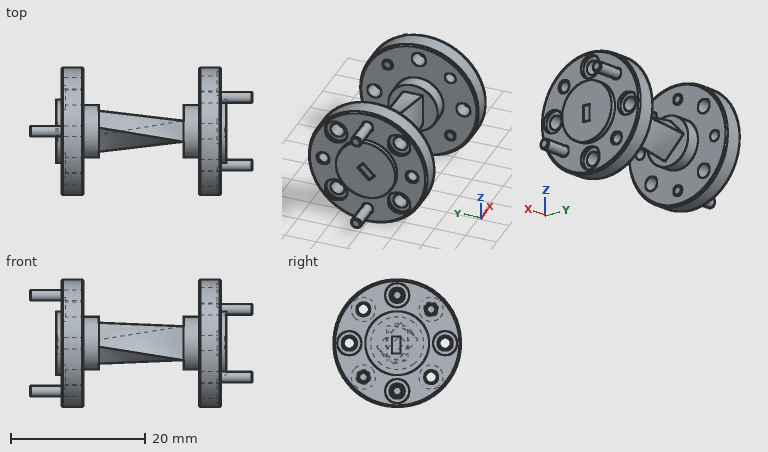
import cadquery as cq


INSERTION_LENGTH = 25.4
FLANGE_DIAMETER = 19.05
FLANGE_THICKNESS = 3.3
FLANGE_CHAMFER = 0.25
BOSS_DIAMETER = 9.53
BOSS_HEIGHT = 0.8
COLLAR_DIAMETER = 7.9
COLLAR_LENGTH = 2.3

APERTURE_LONG = 2.54
APERTURE_SHORT = APERTURE_LONG / 2
APERTURE_DEPTH = 0.25
APERTURE_OFFSET_SHORT = -0.14
APERTURE_OFFSET_LONG = -0.26

TUBE_LONG = 5.08
TUBE_SHORT_LEFT = 3.6
TUBE_SHORT_RIGHT = 3.15
TWIST_ANGLE = 45.0

BOLT_CIRCLE_DIAMETER = 14.29
SCREW_HOLE_DIAMETER = 2.25
COUNTERBORE_DIAMETER = 3.6
COUNTERBORE_DEPTH = 0.6
ALIGNMENT_HOLE_DIAMETER = 1.7
ALIGNMENT_COUNTERSINK = 0.18
PIN_COUNTERSINK = 0.09

SCREW_ANGLES = (0, 90, 180, 270)
PIN_ANGLES = (45, 225)
ALIGNMENT_ANGLES = (135, 315)

PIN_DIAMETER = 1.63
PIN_PROJECTION = 4.675
PIN_CHAMFER = 0.17

BOSS_FACE = INSERTION_LENGTH / 2
FLANGE_OUTER_FACE = BOSS_FACE - BOSS_HEIGHT
FLANGE_INNER_FACE = FLANGE_OUTER_FACE - FLANGE_THICKNESS
COLLAR_FACE = FLANGE_INNER_FACE - COLLAR_LENGTH
PIN_TIP = FLANGE_OUTER_FACE + PIN_PROJECTION
BOLT_RADIUS = BOLT_CIRCLE_DIAMETER / 2

ORIGIN = (0, 0, 0)
X_AXIS = (1, 0, 0)
Z_AXIS = (0, 0, 1)


def cylinder(diameter, start, end, y=0.0):
    """Solid cylinder parallel to X between two X positions."""
    return cq.Workplane("YZ", origin=(start, y, 0)).circle(diameter / 2).extrude(end - start)


def around_bolt_circle(feature, angles):
    """Copies of a feature made at Y = BOLT_RADIUS, turned about X to each angle."""
    return [feature.rotate(ORIGIN, X_AXIS, angle) for angle in angles]


def to_left_end(shape):
    """Turn a +X end shape round to the -X end and roll it by the twist."""
    return shape.rotate(ORIGIN, Z_AXIS, 180).rotate(ORIGIN, X_AXIS, -TWIST_ANGLE)


def screw_hole():
    """Through hole with a shallow counterbore in the flange outer face."""
    hole = cylinder(SCREW_HOLE_DIAMETER, FLANGE_INNER_FACE, FLANGE_OUTER_FACE, BOLT_RADIUS)
    bore_floor = FLANGE_OUTER_FACE - COUNTERBORE_DEPTH
    return hole.union(cylinder(COUNTERBORE_DIAMETER, bore_floor, FLANGE_OUTER_FACE, BOLT_RADIUS))


def countersunk_hole(diameter, countersink):
    """Through hole with a 45 degree countersink in the flange outer face."""
    hole = cylinder(diameter, FLANGE_INNER_FACE, FLANGE_OUTER_FACE, BOLT_RADIUS)
    cone = cq.Solid.makeCone(
        diameter / 2,
        diameter / 2 + countersink,
        countersink,
        cq.Vector(FLANGE_OUTER_FACE - countersink, BOLT_RADIUS, 0),
        cq.Vector(*X_AXIS),
    )
    return hole.union(cq.Workplane(cone))


def aperture_recess():
    """Rectangular waveguide opening in the boss face, long side along Z."""
    floor = (BOSS_FACE - APERTURE_DEPTH, APERTURE_OFFSET_SHORT, APERTURE_OFFSET_LONG)
    return cq.Workplane("YZ", origin=floor).rect(APERTURE_SHORT, APERTURE_LONG).extrude(APERTURE_DEPTH)


def make_flange_end():
    """Flange with its boss, collar, holes and aperture, at the +X end."""
    end = cylinder(FLANGE_DIAMETER, FLANGE_INNER_FACE, FLANGE_OUTER_FACE)
    end = end.edges("%CIRCLE").chamfer(FLANGE_CHAMFER)
    end = end.union(cylinder(BOSS_DIAMETER, FLANGE_OUTER_FACE, BOSS_FACE))
    end = end.union(cylinder(COLLAR_DIAMETER, COLLAR_FACE, FLANGE_INNER_FACE))

    alignment_hole = countersunk_hole(ALIGNMENT_HOLE_DIAMETER, ALIGNMENT_COUNTERSINK)
    pin_hole = countersunk_hole(PIN_DIAMETER, PIN_COUNTERSINK)
    cutters = around_bolt_circle(screw_hole(), SCREW_ANGLES)
    cutters += around_bolt_circle(alignment_hole, ALIGNMENT_ANGLES)
    cutters += around_bolt_circle(pin_hole, PIN_ANGLES)
    for cutter in cutters:
        end = end.cut(cutter)
    return end.cut(aperture_recess())


def make_twisted_tube():
    """Rectangular tube between the collars, rolled at -X and upright at +X."""
    return (
        cq.Workplane("YZ", origin=(-COLLAR_FACE, 0, 0))
        .transformed(rotate=(0, 0, -TWIST_ANGLE))
        .rect(TUBE_SHORT_LEFT, TUBE_LONG)
        .transformed(offset=(0, 0, 2 * COLLAR_FACE), rotate=(0, 0, TWIST_ANGLE))
        .rect(TUBE_SHORT_RIGHT, TUBE_LONG)
        .loft(ruled=True)
    )


def make_waveguide():
    """Both flange ends and the twisted tube as one solid."""
    flange_end = make_flange_end()
    return make_twisted_tube().union(flange_end).union(to_left_end(flange_end))


def make_pin():
    """Pin at the +X end, chamfered at both ends and flush with the flange inner face."""
    pin = cylinder(PIN_DIAMETER, FLANGE_INNER_FACE, PIN_TIP, BOLT_RADIUS)
    return pin.faces("<X or >X").chamfer(PIN_CHAMFER)


waveguide = make_waveguide()

pins = []
for right_pin in around_bolt_circle(make_pin(), PIN_ANGLES):
    pins.append(right_pin.val())
    pins.append(to_left_end(right_pin).val())

result = cq.Compound.makeCompound([waveguide.solids().val(), *pins])